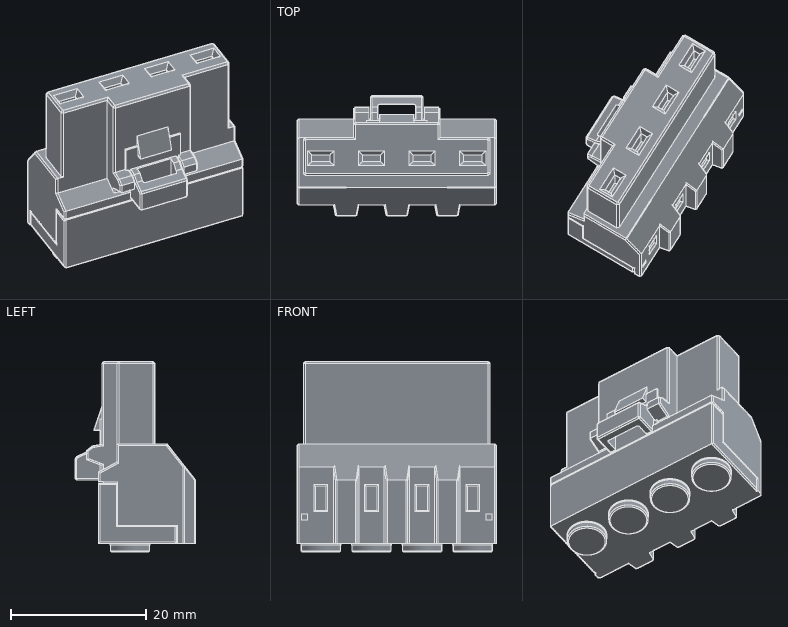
import cadquery as cq


POLES = 4
PITCH = 7.5
POLE_X = [(i - (POLES - 1) / 2) * PITCH for i in range(POLES)]
RIB_X = [(i - (POLES - 2) / 2) * PITCH for i in range(POLES - 1)]

HOUSING_WIDTH = 29.5
HOUSING_TOP = 14.8
HOUSING_FRONT = 1.58
HOUSING_BACK = 14.36
HOUSING_EDGE = 0.24
FINE_EDGE = 0.1
RIDGE_EDGE = 0.05
SLOPE_TOP_Y = 4.2
SLOPE_FOOT_Z = 9.45
SLOPE_RATIO = (HOUSING_TOP - SLOPE_FOOT_Z) / SLOPE_TOP_Y
SHELF_LOW_Z = 10.6
SHELF_HIGH_Z = 12.1

RIB_FACE_WIDTH = 3.15
RIB_BASE_WIDTH = 3.8
RIB_EDGE = 0.2

WINDOW_WIDTH = 2.05
WINDOW_HEIGHT = 4.0
WINDOW_Z = 6.73
WINDOW_TAPER = 0.22
WINDOW_DEPTH = 0.35
MARK_SIZE = 0.9
MARK_X = 13.67
MARK_Z = 3.97
MARK_DEPTH = 0.3

TOWER_WIDTH = 27.7
TOWER_FRONT = 6.0
TOWER_BACK = 11.6
TOWER_TOP = 27.0
TOWER_EDGE = 0.3
KEY_WIDTH = 12.76
KEY_BACK = 13.85
KEY_EDGE = 0.25

SOCKET_LENGTH = 3.9
SOCKET_WIDTH = 2.2
SOCKET_Y = 8.54
SOCKET_TAPER = 0.6
FUNNEL_DEPTH = 0.9
SOCKET_DEPTH = 5.0

COVER_FRONT = 2.62
COVER_FOOT_TOP = 2.7
COVER_LEG_FRONT = 11.54
COVER_TOP = 8.95
COVER_EDGE = 0.22
GAP = 0.15
GAP_DEPTH = 0.25
SLOT_HEIGHT = 0.2
SLOT_DEPTH = 0.75

SCREW_RADIUS = 2.92
SCREW_Y = 9.68
SCREW_HEIGHT = 1.25
SCREW_EDGE = 0.2
COLLAR_RADIUS = 2.97
COLLAR_HEIGHT = 0.18

EAR_INNER_X = 4.1
EAR_BACK = 16.1
EAR_TOP = 14.7
EAR_SHOULDER_Y = 15.3
EAR_SHOULDER_Z = 14.45
EAR_CREST_Z = 13.8
EAR_LOW_Z = 12.45
EAR_ROOT_Z = 11.6
LEVER_WIDTH = 7.82
LEVER_BACK = 17.81
LEVER_BOTTOM = 9.4
LEVER_TOP = 14.72
LEVER_SHOULDER_Z = 14.47
LEVER_NECK_Z = 13.6
LEVER_NOSE_Z = 12.8
LEVER_EDGE = 0.22
LEVER_WINDOW_WIDTH = 5.56
LEVER_WINDOW_BACK = 16.5
LEVER_WINDOW_RADIUS = 0.25
PLATE_WIDTH = 9.0
PLATE_BACK = 14.12
PLATE_TOP = 18.5
TOOTH_WIDTH = 5.1
TOOTH_TIP_Y = 15.05
TOOTH_BOTTOM = 16.8
TOOTH_TOP = 20.3


def prism_x(points, width, x_centre=0.0):
    """Extrude a (Y, Z) outline along X, centred on x_centre."""
    start = cq.Workplane("YZ", origin=(x_centre - width / 2, 0, 0))
    return start.polyline(points).close().extrude(width)


def box(x_min, x_max, y_min, y_max, z_min, z_max):
    """Axis-aligned box between the given limits."""
    size = (x_max - x_min, y_max - y_min, z_max - z_min)
    return cq.Workplane("XY", origin=(x_min, y_min, z_min)).box(*size, centered=False)


def slope_z(y):
    """Height of the sloped housing front at a given Y."""
    return SLOPE_FOOT_Z + SLOPE_RATIO * y


def make_housing():
    outline = [
        (HOUSING_FRONT, 0),
        (HOUSING_FRONT, slope_z(HOUSING_FRONT) - FINE_EDGE),
        (HOUSING_FRONT + FINE_EDGE, slope_z(HOUSING_FRONT + FINE_EDGE)),
        (SLOPE_TOP_Y, HOUSING_TOP),
        (TOWER_BACK, HOUSING_TOP),
        (TOWER_BACK, SHELF_HIGH_Z),
        (HOUSING_BACK, SHELF_LOW_Z),
        (HOUSING_BACK, 0),
    ]
    housing = prism_x(outline, HOUSING_WIDTH)
    return housing.faces("<X or >X").edges("not <Z").chamfer(HOUSING_EDGE)


def make_ridge_trim(side):
    """Wedge that breaks the ridge above the slope, outboard of the outermost ribs."""
    wedge = [
        (SLOPE_TOP_Y - RIDGE_EDGE, slope_z(SLOPE_TOP_Y - RIDGE_EDGE)),
        (SLOPE_TOP_Y + RIDGE_EDGE, HOUSING_TOP),
        (SLOPE_TOP_Y, HOUSING_TOP + RIDGE_EDGE),
        (SLOPE_TOP_Y - RIDGE_EDGE, HOUSING_TOP),
    ]
    inner_x = RIB_X[-1]
    width = HOUSING_WIDTH / 2 - inner_x
    return prism_x(wedge, width, side * (inner_x + width / 2))


def make_rib(x):
    """Tapered front rib whose top continues the sloped housing front."""
    face_half = RIB_FACE_WIDTH / 2
    base_half = RIB_BASE_WIDTH / 2
    root_y = HOUSING_FRONT + FINE_EDGE
    plan = [
        (x - face_half, 0),
        (x + face_half, 0),
        (x + base_half, root_y),
        (x - base_half, root_y),
    ]
    below_slope = [
        (0, 0),
        (0, slope_z(0)),
        (root_y, slope_z(root_y)),
        (root_y, 0),
    ]
    column = cq.Workplane("XY").polyline(plan).close().extrude(HOUSING_TOP)
    rib = column.intersect(prism_x(below_slope, RIB_BASE_WIDTH, x))
    return rib.faces("<X or >X").edges("not(>Y or <Z)").chamfer(RIB_EDGE, RIB_EDGE / 2)


def make_tower():
    half = TOWER_WIDTH / 2
    key_half = KEY_WIDTH / 2
    plan = [
        (-half, TOWER_FRONT),
        (half, TOWER_FRONT),
        (half, TOWER_BACK),
        (key_half, TOWER_BACK),
        (key_half, KEY_BACK),
        (-key_half, KEY_BACK),
        (-key_half, TOWER_BACK),
        (-half, TOWER_BACK),
    ]
    base_z = SHELF_LOW_Z
    tower = cq.Workplane("XY", origin=(0, 0, base_z)).polyline(plan).close().extrude(TOWER_TOP - base_z)
    tower = tower.edges("|Z").edges("<X or >X").chamfer(TOWER_EDGE)
    tower = tower.edges("|Z").edges(">Y").chamfer(KEY_EDGE)
    return tower.faces(">Z").edges().chamfer(TOWER_EDGE)


def make_socket(x):
    """Funnel-shaped contact opening followed by a straight shaft."""
    throat = (SOCKET_LENGTH - 2 * SOCKET_TAPER, SOCKET_WIDTH - 2 * SOCKET_TAPER)
    mouth = cq.Workplane("XY", origin=(x, SOCKET_Y, TOWER_TOP)).rect(SOCKET_LENGTH, SOCKET_WIDTH)
    funnel = mouth.workplane(offset=-FUNNEL_DEPTH).rect(*throat).loft(combine=True)
    shaft = cq.Workplane("XY", origin=(x, SOCKET_Y, TOWER_TOP)).rect(*throat).extrude(-SOCKET_DEPTH)
    return funnel.union(shaft)


def make_window(x):
    """Tapered rectangular pocket in the recessed housing front."""
    floor_size = (WINDOW_WIDTH - 2 * WINDOW_TAPER, WINDOW_HEIGHT - 2 * WINDOW_TAPER)
    mouth = cq.Workplane("XZ", origin=(x, HOUSING_FRONT, WINDOW_Z)).rect(WINDOW_WIDTH, WINDOW_HEIGHT)
    return mouth.workplane(offset=-WINDOW_DEPTH).rect(*floor_size).loft(combine=True)


def make_mark(x):
    mouth = cq.Workplane("XZ", origin=(x, HOUSING_FRONT, MARK_Z)).rect(MARK_SIZE, MARK_SIZE)
    return mouth.extrude(-MARK_DEPTH)


def cover_outline(gap):
    """L-shaped (Y, Z) outline of the cover, shrunk by the gap on the sides facing the housing."""
    return [
        (COVER_FRONT + gap, 0),
        (COVER_FRONT + gap, COVER_FOOT_TOP - gap),
        (COVER_LEG_FRONT + gap, COVER_FOOT_TOP - gap),
        (COVER_LEG_FRONT + gap, COVER_TOP),
        (HOUSING_BACK, COVER_TOP),
        (HOUSING_BACK, 0),
    ]


def make_cover_recess():
    """Space in the housing for the cover, including the gap above its rear leg."""
    half = HOUSING_WIDTH / 2
    slot_top = COVER_TOP + SLOT_HEIGHT
    above_leg = box(-half, half, COVER_LEG_FRONT, HOUSING_BACK, COVER_TOP, slot_top)
    return prism_x(cover_outline(0), HOUSING_WIDTH).union(above_leg)


def make_cover():
    """Bottom cover with bevelled ends, joined to the housing by a web set back from the end faces."""
    cover = prism_x(cover_outline(GAP), HOUSING_WIDTH)
    cover = cover.faces("<X or >X").edges("<Y or >Y or <Z or >Z").chamfer(COVER_EDGE)
    web_width = HOUSING_WIDTH - 2 * GAP_DEPTH
    web = prism_x(cover_outline(0), web_width)
    half = web_width / 2
    slot_floor = HOUSING_BACK - SLOT_DEPTH
    slot_web = box(-half, half, COVER_LEG_FRONT, slot_floor, COVER_TOP, COVER_TOP + SLOT_HEIGHT)
    return cover.union(web).union(slot_web)


def make_screw(x):
    head = cq.Workplane("XY", origin=(x, SCREW_Y, 0)).circle(SCREW_RADIUS).extrude(-SCREW_HEIGHT)
    head = head.faces("<Z").edges().chamfer(SCREW_EDGE)
    collar = cq.Workplane("XY", origin=(x, SCREW_Y, 0)).circle(COLLAR_RADIUS).extrude(-COLLAR_HEIGHT)
    return head.union(collar)


def make_ear(side):
    """Bevelled guard lug beside the latch lever (side is -1 or +1)."""
    width = KEY_WIDTH / 2 - EAR_INNER_X
    outline = [
        (TOWER_BACK, EAR_TOP),
        (KEY_BACK, EAR_TOP),
        (EAR_SHOULDER_Y, EAR_SHOULDER_Z),
        (EAR_BACK, EAR_CREST_Z),
        (EAR_BACK, EAR_LOW_Z),
        (KEY_BACK, EAR_ROOT_Z),
        (KEY_BACK, SHELF_LOW_Z),
        (TOWER_BACK, SHELF_LOW_Z),
    ]
    ear = prism_x(outline, width, side * (EAR_INNER_X + width / 2))
    outer_face = ear.faces(">X" if side > 0 else "<X")
    return outer_face.edges("not(<Y or <Z)").chamfer(LEVER_EDGE)


def make_lever():
    """Latch lever: a frame around a vertical window, rooted in the rear of the housing."""
    outline = [
        (KEY_BACK, LEVER_BOTTOM),
        (KEY_BACK, LEVER_TOP),
        (EAR_SHOULDER_Y, LEVER_SHOULDER_Z),
        (EAR_BACK, LEVER_NECK_Z),
        (LEVER_BACK, LEVER_NOSE_Z),
        (LEVER_BACK, LEVER_BOTTOM),
    ]
    lever = prism_x(outline, LEVER_WIDTH)
    lever = lever.edges("|X").edges(">Y").chamfer(LEVER_EDGE)
    lever = lever.faces("<X or >X").edges("not <Y").chamfer(LEVER_EDGE)
    half = LEVER_WINDOW_WIDTH / 2
    window = box(-half, half, HOUSING_BACK, LEVER_WINDOW_BACK, 0, HOUSING_TOP)
    return lever.cut(window.edges("|Z and >Y").fillet(LEVER_WINDOW_RADIUS))


def make_latch_plate():
    half = PLATE_WIDTH / 2
    return box(-half, half, TOWER_BACK, PLATE_BACK, SHELF_LOW_Z, PLATE_TOP)


def make_tooth():
    outline = [
        (TOWER_BACK, TOOTH_BOTTOM),
        (TOOTH_TIP_Y, TOOTH_BOTTOM),
        (KEY_BACK, TOOTH_TOP),
        (TOWER_BACK, TOOTH_TOP),
    ]
    return prism_x(outline, TOOTH_WIDTH)


result = make_housing()
for end in (-1, 1):
    result = result.cut(make_ridge_trim(end)).cut(make_mark(end * MARK_X))
result = result.cut(make_cover_recess()).union(make_cover())
for rib_x in RIB_X:
    result = result.union(make_rib(rib_x))
result = result.union(make_tower()).union(make_latch_plate()).union(make_lever()).union(make_tooth())
for end in (-1, 1):
    result = result.union(make_ear(end))
for pole_x in POLE_X:
    result = result.union(make_screw(pole_x))
    result = result.cut(make_window(pole_x)).cut(make_socket(pole_x))